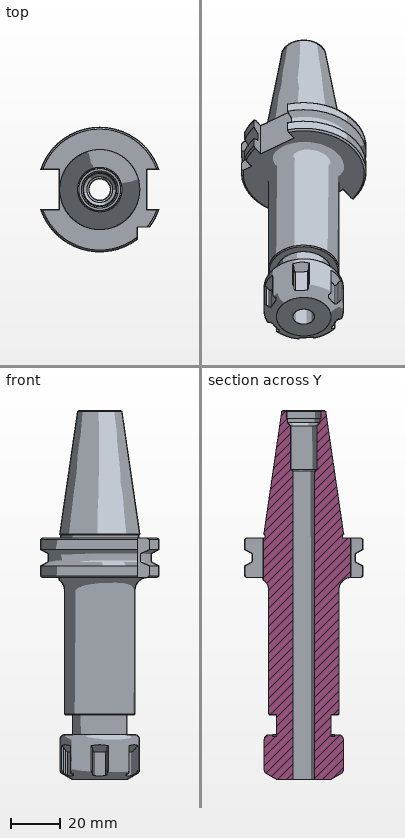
import cadquery as cq
import math

total_height = 147.8
gauge_height = 100.0
flange_top = 96.8
flange_bottom = 80.8
body_bottom = 25.9
nut_top = 18.0

gauge_radius = 15.8
taper_slope = 7 / 48
taper_base = 98.5
relief_radius = 15.7
relief_top = 97.8
shank_edge = 0.5

flange_radius = 25.0
flange_chamfer = 0.7
groove_radius = 22.2
groove_floor_width = 3.3
groove_fillet = 0.7
groove_side_angle = 30

drive_slot_width = 16.1
drive_slot_left = -16.3
drive_slot_right = 18.9
notch_corner = 15.1

body_radius = 14.2
body_fillet = 4.9
body_chamfer = 0.5
neck_radius = 11.0

nut_radius = 16.0
nut_fillet = 2.0
nut_tip_radius = 11.0
nut_tip_angle = 30
nut_edge_fillet = 1.8
nut_recess_radius = 12.4
nut_recess_depth = 0.7

wrench_slot_count = 6
wrench_slot_width = 5.9
wrench_slot_corner = 0.6
wrench_slot_floor = 13.5
wrench_slot_height = 11.0
wrench_first_angle = 30
wrench_slot_extra = 1.0
wrench_mouth_start = 15.1
wrench_mouth_flare = 1
wrench_top_slope = 1.2

bore_radius = 4.3
thread_radius = 5.2
thread_end_depth = 23.6
thread_end_angle = 30
recess_radius = 6.5
recess_depth = 4.9
mouth_radius = 6.8
mouth_depth = 3.1
countersink_radius = 7.4
countersink_depth = 0.5

margin = 3


def taper_radius(height):
    return gauge_radius - (height - gauge_height) * taper_slope


def turned(points):
    """Revolve a closed outline of (radius, height) points about Z."""
    return cq.Workplane("XZ").polyline(points).close().revolve(360, (0, 0), (0, 1))


def make_shank():
    return turned([
        (0, flange_top),
        (relief_radius, flange_top),
        (relief_radius, relief_top),
        (taper_radius(taper_base), taper_base),
        (taper_radius(total_height - shank_edge), total_height - shank_edge),
        (taper_radius(total_height) - shank_edge, total_height),
        (0, total_height),
    ])


def make_flange():
    middle = (flange_top + flange_bottom) / 2
    floor_half = groove_floor_width / 2
    side_rise = (flange_radius - groove_radius) * math.tan(math.radians(groove_side_angle))
    mouth_half = floor_half + side_rise
    flange = turned([
        (0, flange_bottom),
        (flange_radius - flange_chamfer, flange_bottom),
        (flange_radius, flange_bottom + flange_chamfer),
        (flange_radius, middle - mouth_half),
        (groove_radius, middle - floor_half),
        (groove_radius, middle + floor_half),
        (flange_radius, middle + mouth_half),
        (flange_radius, flange_top - flange_chamfer),
        (flange_radius - flange_chamfer, flange_top),
        (0, flange_top),
    ])
    corners = cq.selectors.BoxSelector(
        (-1.5, -1.5, middle - floor_half - groove_fillet), (1.5, 1.5, middle + floor_half + groove_fillet)
    )
    return flange.edges("%CIRCLE").edges(corners).fillet(groove_fillet)


def make_body():
    arc_middle = body_fillet * (1 - math.sqrt(0.5))
    outline = (
        cq.Workplane("XZ")
        .moveTo(0, body_bottom)
        .lineTo(body_radius - body_chamfer, body_bottom)
        .lineTo(body_radius, body_bottom + body_chamfer)
        .lineTo(body_radius, flange_bottom - body_fillet)
        .threePointArc(
            (body_radius + arc_middle, flange_bottom - arc_middle),
            (body_radius + body_fillet, flange_bottom),
        )
        .lineTo(0, flange_bottom)
        .close()
    )
    neck = cq.Workplane("XY").circle(neck_radius).extrude(body_bottom)
    return outline.revolve(360, (0, 0), (0, 1)).union(neck)


def cut_flange(part):
    """Cut the two drive slots and the corner notch through the flange."""
    height = flange_top - flange_bottom + body_fillet
    level = cq.Workplane("XY").workplane(offset=flange_top - height)
    length = flange_radius + margin

    for floor, direction in ((drive_slot_left, -1), (drive_slot_right, 1)):
        centre = floor + direction * length / 2
        part = part.cut(level.center(centre, 0).rect(length, drive_slot_width).extrude(height))

    notch_centre = notch_corner + length / 2
    notch = level.center(notch_centre, -notch_centre).rect(length, length).extrude(height)
    return part.cut(notch)


def wrench_slot(floor_height):
    """Cutter on the +X side: flat floor, flared mouth and sloping top."""
    outer = nut_radius + margin
    half = wrench_slot_width / 2
    mouth_half = half + (outer - wrench_mouth_start) * wrench_mouth_flare
    plan = (
        cq.Workplane("XY")
        .polyline([
            (wrench_slot_floor, wrench_slot_corner - half),
            (wrench_slot_floor + wrench_slot_corner, -half),
            (wrench_mouth_start, -half),
            (outer, -mouth_half),
            (outer, mouth_half),
            (wrench_mouth_start, half),
            (wrench_slot_floor + wrench_slot_corner, half),
            (wrench_slot_floor, half - wrench_slot_corner),
        ])
        .close()
        .extrude(nut_top)
    )
    top = floor_height + (outer - wrench_slot_floor) * wrench_top_slope
    side = (
        cq.Workplane("XZ")
        .polyline([(wrench_slot_floor, 0), (outer, 0), (outer, top), (wrench_slot_floor, floor_height)])
        .close()
        .extrude(mouth_half, both=True)
    )
    return plan.intersect(side)


def make_nut():
    cone_rise = (nut_radius - nut_tip_radius) * math.tan(math.radians(nut_tip_angle))
    nut = turned([
        (0, 0),
        (nut_tip_radius, 0),
        (nut_radius, cone_rise),
        (nut_radius, nut_top),
        (0, nut_top),
    ])
    nut = nut.faces(">Z").edges().fillet(nut_fillet)
    lower_edge = cq.selectors.NearestToPointSelector((0, 0, cone_rise))
    nut = nut.edges("%CIRCLE").edges(lower_edge).fillet(nut_edge_fillet)
    recess = cq.Workplane("XY").workplane(offset=nut_top - nut_recess_depth)
    nut = nut.cut(recess.circle(nut_recess_radius).circle(neck_radius).extrude(nut_recess_depth))

    for index in range(wrench_slot_count):
        angle = wrench_first_angle + index * 360 / wrench_slot_count
        extra = wrench_slot_extra if angle < 180 else 0
        cutter = wrench_slot(wrench_slot_height + extra)
        nut = nut.cut(cutter.rotate((0, 0, 0), (0, 0, 1), angle))
    return nut


def make_bore():
    thread_end = total_height - thread_end_depth
    thread_end_drop = (thread_radius - bore_radius) * math.tan(math.radians(thread_end_angle))
    recess_floor = total_height - recess_depth
    recess_cone_drop = recess_radius - thread_radius
    mouth_floor = total_height - mouth_depth
    return turned([
        (0, 0),
        (bore_radius, 0),
        (bore_radius, thread_end - thread_end_drop),
        (thread_radius, thread_end),
        (thread_radius, recess_floor - recess_cone_drop),
        (recess_radius, recess_floor),
        (recess_radius, mouth_floor),
        (mouth_radius, mouth_floor),
        (mouth_radius, total_height - countersink_depth),
        (countersink_radius, total_height),
        (0, total_height),
    ])


holder = cut_flange(make_flange().union(make_body()))
result = holder.union(make_shank()).union(make_nut()).cut(make_bore())